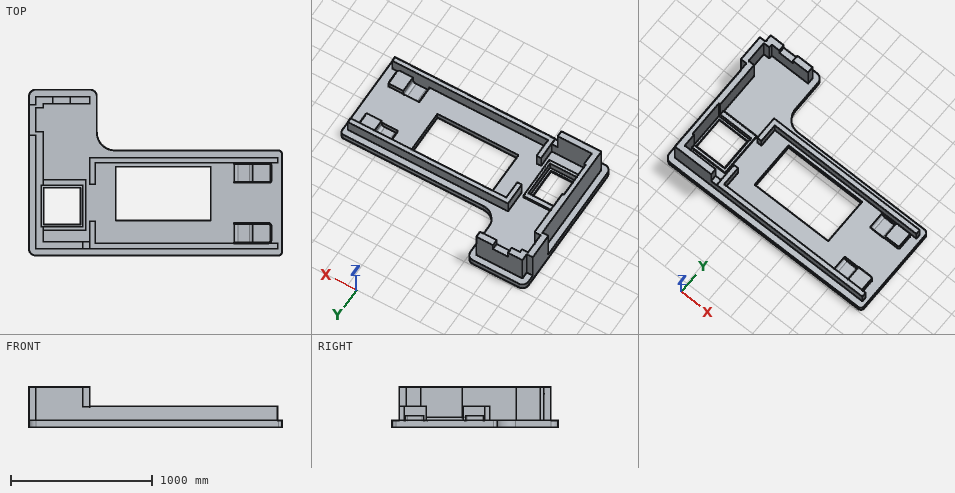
import cadquery as cq

LENGTH = 1790.0
DEPTH = 1175.0
PLATE_TOP = 50.0
ARM_WIDTH = 482.0
BED_DEPTH = 745.0
ARM_CORNER_RADIUS = 50.0
BED_CORNER_RADIUS = 29.0
INNER_CORNER_RADIUS = 125.0

TALL_TOP = 287.0
TALL_THICKNESS = 50.0
PLATE_MARGIN = 50.0
WALL_END_X = 432.0
STEP_LENGTH = 50.0
STEP_TOP = 145.0
JOG_OUTER_Y = (852.0, 1065.0)
JOG_INNER_Y = (877.0, 1048.0)
NOTCH_X = (170.0, 294.0)
NOTCH_DEPTH = 50.0

LOW_TOP = 150.0
LOW_THICKNESS = 38.0
LOW_END_X = 1758.0
LOW_OUTER_Y = (PLATE_MARGIN, 693.0)
STUB_END_Y = (244.0, 505.0)

WINDOW_X = (616.0, 1285.0)
WINDOW_Y = (249.0, 629.0)

RIM_TOP = 70.0
RIM_END_X = 401.0
RIM_Y = (180.0, 535.0)
RECESS_CORNER = (88.0, 205.0)
RECESS_SIZE = 294.0
RECESS_FLOOR = 15.0
OPENING_SIZE = 258.0

CHOCK_X = (1450.0, 1708.0)
CHOCK_FLOOR = 20.0
CHOCK_TOP = 80.0
DIP_RADIUS = 25.0
BLOCK_START_X = 1583.0
SLIT = 5.0
LOWER_CHOCK_Y = (93.0, 225.0)
UPPER_CHOCK_Y = (521.0, 648.0)
LOWER_CHOCK_CORNER = 16.0
UPPER_CHOCK_CORNER = 9.0


def block(x_range, y_range, z_range):
    """Box given by its limits along each axis."""
    sizes = [high - low for low, high in (x_range, y_range, z_range)]
    return cq.Workplane("XY").box(*sizes, centered=False).translate((x_range[0], y_range[0], z_range[0]))


def make_plate():
    arm = block((0, ARM_WIDTH), (0, DEPTH), (0, PLATE_TOP))
    bed = block((0, LENGTH), (0, BED_DEPTH), (0, PLATE_TOP))
    plate = arm.union(bed).clean()
    plate = plate.edges("|Z and (<X or >Y)").fillet(ARM_CORNER_RADIUS)
    plate = plate.edges("|Z and >X").fillet(BED_CORNER_RADIUS)
    inner_corner = cq.selectors.NearestToPointSelector((ARM_WIDTH, BED_DEPTH, PLATE_TOP / 2))
    return plate.edges(inner_corner).fillet(INNER_CORNER_RADIUS)


def make_tall_wall():
    outer_x = PLATE_MARGIN
    inner_x = PLATE_MARGIN + TALL_THICKNESS
    outer_top_y = DEPTH - PLATE_MARGIN
    inner_top_y = outer_top_y - TALL_THICKNESS
    inner_bottom_y = PLATE_MARGIN + TALL_THICKNESS
    outline = [
        (WALL_END_X, PLATE_MARGIN),
        (outer_x, PLATE_MARGIN),
        (outer_x, JOG_OUTER_Y[0]),
        (0, JOG_OUTER_Y[0]),
        (0, JOG_OUTER_Y[1]),
        (outer_x, JOG_OUTER_Y[1]),
        (outer_x, outer_top_y),
        (WALL_END_X, outer_top_y),
        (WALL_END_X, inner_top_y),
        (inner_x, inner_top_y),
        (inner_x, JOG_INNER_Y[1]),
        (outer_x, JOG_INNER_Y[1]),
        (outer_x, JOG_INNER_Y[0]),
        (inner_x, JOG_INNER_Y[0]),
        (inner_x, inner_bottom_y),
        (WALL_END_X, inner_bottom_y),
    ]
    wall = cq.Workplane("XY").polyline(outline).close().extrude(TALL_TOP)
    notch = block(NOTCH_X, (inner_top_y, outer_top_y), (TALL_TOP - NOTCH_DEPTH, TALL_TOP))
    step = block((WALL_END_X - STEP_LENGTH, WALL_END_X), (PLATE_MARGIN, inner_bottom_y), (STEP_TOP, TALL_TOP))
    return wall.cut(notch).cut(step)


def make_low_wall(outer_y, stub_end_y):
    """Long wall along X with a stub turned inward at its left end."""
    inward = 1 if stub_end_y > outer_y else -1
    inner_y = outer_y + inward * LOW_THICKNESS
    stub_x = WALL_END_X + LOW_THICKNESS
    outline = [
        (WALL_END_X, outer_y),
        (LOW_END_X, outer_y),
        (LOW_END_X, inner_y),
        (stub_x, inner_y),
        (stub_x, stub_end_y),
        (WALL_END_X, stub_end_y),
    ]
    return cq.Workplane("XY").polyline(outline).close().extrude(LOW_TOP)


def cut_square_opening(body):
    recess_x, recess_y = RECESS_CORNER
    rim = block((PLATE_MARGIN, RIM_END_X), RIM_Y, (0, RIM_TOP))
    recess = block(
        (recess_x, recess_x + RECESS_SIZE),
        (recess_y, recess_y + RECESS_SIZE),
        (RECESS_FLOOR, TALL_TOP),
    )
    ledge = (RECESS_SIZE - OPENING_SIZE) / 2
    opening = block(
        (recess_x + ledge, recess_x + ledge + OPENING_SIZE),
        (recess_y + ledge, recess_y + ledge + OPENING_SIZE),
        (0, TALL_TOP),
    )
    return body.union(rim).cut(recess).cut(opening)


def make_chock(y_range, corner_radius):
    """Tongue with a round-ended dip followed by a raised block."""
    start_x, end_x = CHOCK_X
    dip_top = CHOCK_FLOOR + DIP_RADIUS
    profile = (
        cq.Workplane("XZ")
        .moveTo(start_x, 0)
        .lineTo(start_x, dip_top)
        .radiusArc((start_x + DIP_RADIUS, CHOCK_FLOOR), -DIP_RADIUS)
        .lineTo(BLOCK_START_X - DIP_RADIUS, CHOCK_FLOOR)
        .radiusArc((BLOCK_START_X, dip_top), -DIP_RADIUS)
        .lineTo(BLOCK_START_X, CHOCK_TOP)
        .lineTo(end_x, CHOCK_TOP)
        .lineTo(end_x, 0)
        .close()
    )
    tongue = profile.extrude(y_range[0] - y_range[1]).translate((0, y_range[0], 0))
    return tongue.edges("|Z and >X").fillet(corner_radius)


def add_chock(body, y_range, corner_radius):
    hole = block(
        (CHOCK_X[0], CHOCK_X[1] + SLIT),
        (y_range[0] - SLIT, y_range[1] + SLIT),
        (0, PLATE_TOP),
    )
    hole = hole.edges("|Z and >X").fillet(corner_radius + SLIT)
    return body.cut(hole).union(make_chock(y_range, corner_radius))


result = make_plate().union(make_tall_wall())
for outer_y, stub_end_y in zip(LOW_OUTER_Y, STUB_END_Y):
    result = result.union(make_low_wall(outer_y, stub_end_y))
result = result.cut(block(WINDOW_X, WINDOW_Y, (0, PLATE_TOP)))
result = cut_square_opening(result)
result = add_chock(result, LOWER_CHOCK_Y, LOWER_CHOCK_CORNER)
result = add_chock(result, UPPER_CHOCK_Y, UPPER_CHOCK_CORNER)